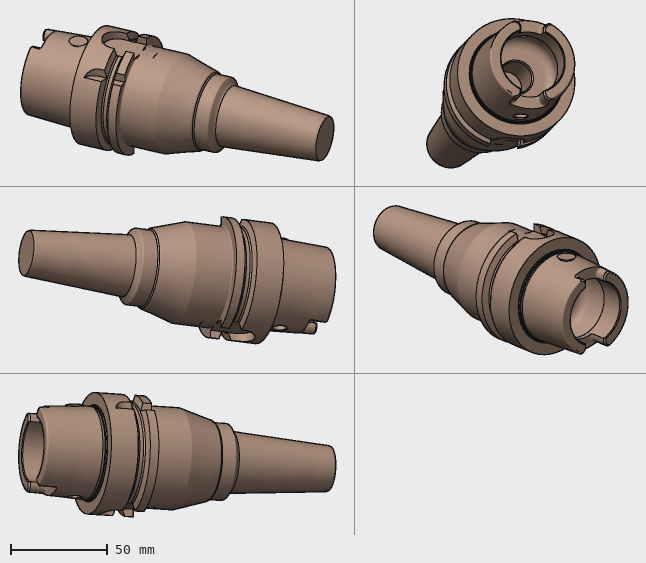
import cadquery as cq
import math


shank_length = 32.0
shank_end_radius = 22.75
shank_root_radius = 24.25
shank_edge_round = 1.0
relief_width = 2.1
relief_depth = 0.25
relief_run = 0.8
face_groove_radius = 25.2
face_groove_depth = 0.5

flange_radius = 31.5
flange_width = 26.0
groove_center = 18.0
groove_mouth_width = 6.6
groove_bottom_radius = 27.5
groove_floor_width = 2.0
groove_shoulder_width = 3.8
groove_shoulder_radius = 28.0

body_radius = 26.5
body_root_round = 0.5
body_end = 46.0
body_cone_end = 63.5
body_cone_end_radius = 21.3
collar_start = 65.0
collar_end = 72.3
collar_radius = 20.0
collar_edge_end = 73.1
collar_edge_radius = 19.5
collar_cone_end = 74.4
collar_cone_end_radius = 17.3
nose_start = 75.5
nose_start_radius = 16.2
nose_length = 130.0
nose_end_radius = 12.05
nose_edge_chamfer = 1.0
nose_edge_depth = 0.4

bore_mouth_radius = 17.4
bore_radius = 16.9
bore_mouth_chamfer = bore_mouth_radius - bore_radius
bore_cylinder_length = 12.8
recess_radius = 20.2
recess_shoulder_angle = 30.0
recess_end_x = -5.0
bore_floor_round = 4.9
coolant_radius = 8.5
coolant_chamfer = 0.7
coolant_depth = 20.0

slot_half_width = 6.0
slot_flare_radius = 3.5
slot_flare_height = 20.75
slot_floor_round = 1.2
slot_rim_chamfer = 0.9
upper_slot_depth = 6.0
lower_slot_depth = 10.0

cross_hole_x = -9.0
cross_hole_diameter = 7.2
cross_hole_mouth_diameter = 8.4
cross_hole_chamfer = 0.6

keyway_width = 16.0
keyway_start = 5.0
keyway_floor = 26.4
keyway_end = 34.2
notch_cutter_radius = 8.0
notch_cutter_x = 12.0
notch_wall_y = -20.2
notch_floor_z = 19.8

clearance = 5.0


def revolve_about_x(wire):
    """Turn a closed (x, radius) outline about the X axis."""
    return wire.close().revolve(360, (0, 0, 0), (1, 0, 0))


def turned_body():
    """Solid of revolution with every outer diameter, from the shank end to the nose tip."""
    groove_left = groove_center - groove_mouth_width / 2
    groove_right = groove_center + groove_mouth_width / 2
    shoulder_left = groove_center - groove_shoulder_width / 2
    shoulder_right = groove_center + groove_shoulder_width / 2
    floor_left = groove_center - groove_floor_width / 2
    floor_right = groove_center + groove_floor_width / 2
    relief_radius = shank_root_radius - relief_depth
    step_mid = ((body_cone_end + collar_start) / 2, (body_cone_end_radius + collar_radius) / 2)
    outline = (
        cq.Workplane("XY")
        .moveTo(-shank_length, 0)
        .lineTo(-shank_length, shank_end_radius - shank_edge_round)
        .tangentArcPoint((-shank_length + shank_edge_round, shank_end_radius), relative=False)
        .lineTo(-relief_width, shank_root_radius)
        .lineTo(-relief_width + relief_run, relief_radius)
        .lineTo(-relief_run, relief_radius)
        .lineTo(-relief_run / 2, shank_root_radius)
        .lineTo(face_groove_depth, shank_root_radius)
        .lineTo(face_groove_depth, face_groove_radius - face_groove_depth)
        .lineTo(0, face_groove_radius)
        .lineTo(0, flange_radius)
        .lineTo(groove_left, flange_radius)
        .lineTo(shoulder_left, groove_shoulder_radius)
        .lineTo(floor_left, groove_bottom_radius)
        .lineTo(floor_right, groove_bottom_radius)
        .lineTo(shoulder_right, groove_shoulder_radius)
        .lineTo(groove_right, flange_radius)
        .lineTo(flange_width, flange_radius)
        .lineTo(flange_width, body_radius + body_root_round)
        .tangentArcPoint((flange_width + body_root_round, body_radius), relative=False)
        .lineTo(body_end, body_radius)
        .lineTo(body_cone_end, body_cone_end_radius)
        .tangentArcPoint(step_mid, relative=False)
        .lineTo(collar_start, collar_radius)
        .lineTo(collar_end, collar_radius)
        .tangentArcPoint((collar_edge_end, collar_edge_radius), relative=False)
        .lineTo(collar_cone_end, collar_cone_end_radius)
        .tangentArcPoint((nose_start, nose_start_radius), relative=False)
        .lineTo(nose_length - nose_edge_chamfer, nose_end_radius)
        .lineTo(nose_length, nose_end_radius - nose_edge_depth)
        .lineTo(nose_length, 0)
    )
    return revolve_about_x(outline)


def bore():
    """Bore with a clamping recess behind its mouth and a blind coolant hole in its floor."""
    mouth_x = -shank_length
    shoulder_x = mouth_x + bore_cylinder_length
    shoulder_run = (recess_radius - bore_radius) * math.tan(math.radians(recess_shoulder_angle))
    recess_start_x = shoulder_x + shoulder_run
    bore_floor_radius = recess_radius - bore_floor_round
    bore_floor_x = recess_end_x + bore_floor_round
    coolant_end = bore_floor_x + coolant_depth
    outline = (
        cq.Workplane("XY")
        .moveTo(mouth_x, 0)
        .lineTo(mouth_x, bore_mouth_radius)
        .lineTo(mouth_x + bore_mouth_chamfer, bore_radius)
        .lineTo(shoulder_x, bore_radius)
        .lineTo(recess_start_x, recess_radius)
        .lineTo(recess_end_x, recess_radius)
        .tangentArcPoint((bore_floor_x, bore_floor_radius), relative=False)
        .lineTo(bore_floor_x, coolant_radius + coolant_chamfer)
        .lineTo(bore_floor_x + coolant_chamfer, coolant_radius)
        .lineTo(coolant_end, coolant_radius)
        .lineTo(coolant_end, 0)
    )
    return revolve_about_x(outline)


def drive_slot_outline(workplane, offset):
    """Draw the slot section, grown by offset, with walls flaring outward in quarter arcs."""
    half_width = slot_half_width + offset
    flare_radius = slot_flare_radius - offset
    flare_height = slot_flare_height - offset
    flare_y = half_width + flare_radius
    flare_bottom = flare_height - flare_radius
    arc_offset = flare_radius * (1 - math.sqrt(0.5))
    mid_y = half_width + arc_offset
    mid_z = flare_height - arc_offset
    outer_y = flare_y + clearance
    top_z = shank_root_radius + clearance
    return (
        workplane.moveTo(-half_width, 0)
        .lineTo(-half_width, flare_bottom)
        .threePointArc((-mid_y, mid_z), (-flare_y, flare_height))
        .lineTo(-outer_y, flare_height)
        .lineTo(-outer_y, top_z)
        .lineTo(outer_y, top_z)
        .lineTo(outer_y, flare_height)
        .lineTo(flare_y, flare_height)
        .threePointArc((mid_y, mid_z), (half_width, flare_bottom))
        .lineTo(half_width, 0)
        .close()
    )


def drive_slot(depth):
    """Cutter for a slot on the +Z side with a rounded floor and a chamfered rim."""
    end_plane = cq.Workplane("YZ", origin=(-shank_length, 0, 0))
    channel = drive_slot_outline(end_plane, 0).extrude(depth)
    channel = channel.faces(">X").edges().fillet(slot_floor_round)
    rim = drive_slot_outline(end_plane, slot_rim_chamfer).workplane(offset=slot_rim_chamfer)
    rim = drive_slot_outline(rim, 0).loft(ruled=True)
    return channel.union(rim)


def cross_hole():
    """Through hole along Z, countersunk where it leaves the shank on both sides."""
    taper = (shank_root_radius - shank_end_radius) / (shank_length - relief_width)
    surface_z = shank_end_radius + taper * (cross_hole_x + shank_length)
    hole_radius = cross_hole_diameter / 2
    mouth_radius = cross_hole_mouth_diameter / 2
    countersink_top_radius = 2 * mouth_radius - hole_radius
    countersink = (
        cq.Workplane("XY", origin=(cross_hole_x, 0, surface_z - cross_hole_chamfer))
        .circle(hole_radius)
        .workplane(offset=2 * cross_hole_chamfer)
        .circle(countersink_top_radius)
        .loft(ruled=True)
    )
    shaft = (
        cq.Workplane("XY", origin=(cross_hole_x, 0, 0))
        .circle(hole_radius)
        .extrude(surface_z, both=True)
    )
    return shaft.union(countersink).union(countersink.mirror("XY"))


def keyway():
    """Round-ended flat-bottomed keyway on the +Z side, open toward the nose."""
    radius = keyway_width / 2
    height = flange_radius + clearance - keyway_floor
    arc_x = keyway_start + radius
    return (
        cq.Workplane("XY", origin=(0, 0, keyway_floor))
        .moveTo(keyway_end, -radius)
        .lineTo(arc_x, -radius)
        .threePointArc((keyway_start, 0), (arc_x, radius))
        .lineTo(keyway_end, radius)
        .close()
        .extrude(height)
    )


def orientation_notch():
    """L-shaped notch on the -Y, +Z quarter of the flange with a milled round end."""
    center_y = notch_wall_y - notch_cutter_radius
    height = flange_radius + clearance - notch_floor_z
    round_end = (
        cq.Workplane("XY", origin=(notch_cutter_x, center_y, notch_floor_z))
        .circle(notch_cutter_radius)
        .extrude(height)
    )
    run = (
        cq.Workplane("XY", origin=(0, center_y, notch_floor_z))
        .moveTo(notch_cutter_x, -notch_cutter_radius)
        .lineTo(flange_width, -notch_cutter_radius)
        .lineTo(flange_width, notch_cutter_radius)
        .lineTo(notch_cutter_x, notch_cutter_radius)
        .close()
        .extrude(height)
    )
    return round_end.union(run)


upper_slot = drive_slot(upper_slot_depth)
lower_slot = drive_slot(lower_slot_depth).mirror("XY")
upper_keyway = keyway()
lower_keyway = upper_keyway.mirror("XY")

holder = turned_body().cut(upper_slot).cut(lower_slot)
holder = holder.cut(cross_hole()).cut(bore())
result = holder.cut(upper_keyway).cut(lower_keyway).cut(orientation_notch())